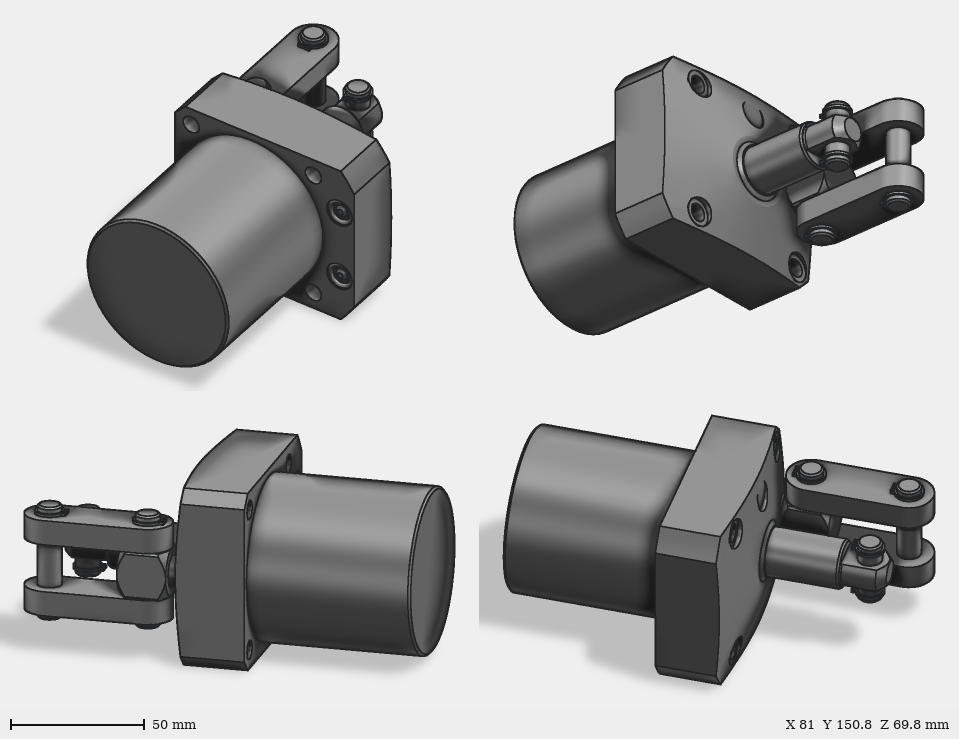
import cadquery as cq
import math


total_length = 150.8

body_radius = 32.0
body_length = 63.3
body_chamfer = 0.9

flange_left = 35.0
flange_right = 46.0
flange_height = 69.8
flange_corner_cut = 4.8
flange_corner_radius = 53.1
cone_top = 30.5
cone_flat_radius = 14.0
cone_angle = 10

mount_offset = 27.6
mount_hole_diameter = 7.2
spot_diameter = 11.3
mount_spot_floor = 25.0
upper_spot_offset = 25.3
upper_spot_floor = 27.7

port_x = 39.4
port_z = 15.0
port_radius = 5.7
port_depth = 1.7
seal_radius = 0.9
seal_recess = 0.2
stud_base_radius = 2.5
stud_tip_radius = 1.2
stud_recess = 0.6

rod_radius = 9.5
rod_end = 60.5
rod_end_chamfer = 0.6
rod_end_chamfer_length = 0.9
wiper_base_radius = 11.8
wiper_top_radius = 10.1
wiper_height = 1.4
tongue_radius = 8.0
tongue_thickness = 9.8
tongue_end = 77.8
tongue_chamfer = 3.3
tongue_flare = 0.6

link_width = 2 * rod_radius
link_thickness = 9.5
link_gap = 18.5
link_pitch = 38.0
link_end = total_length - body_length
link_radius = link_width / 2
link_x = link_radius - flange_left
link_outer_z = link_gap / 2 + link_thickness
far_pin_y = link_end - link_radius
near_pin_y = far_pin_y - link_pitch

block_start = near_pin_y - link_radius
block_end = 49.5
block_turned_radius = 12.7
block_end_radius = link_radius
block_cone_length = 3.0
post_radius = 6.2
post_base = 22.6

pin_radius = 4.7
pin_chamfer = 0.8
pin_overhang = 3.5
rod_pin_y = 70.1
rod_pin_half_length = 13.0
ring_radius = 5.6
ring_thickness = 1.0
lug_width = 5.1
lug_reach = 6.6
lug_gap = 0.8
lug_hole_diameter = 0.9


def turned(points):
    """Solid of revolution about the Y axis from (radius, y) points."""
    return cq.Workplane("XY").polyline(points).close().revolve(360, (0, 0, 0), (0, 1, 0))


def rod_along_y(x, z, radius, start, end):
    """Round bar parallel to Y."""
    return cq.Workplane("XZ", origin=(x, start, z)).circle(radius).extrude(start - end)


def make_body():
    overlap = cone_top / 2
    inner = body_radius - body_chamfer
    return turned([
        (0, -body_length),
        (inner, -body_length),
        (body_radius, body_chamfer - body_length),
        (body_radius, overlap),
        (0, overlap),
    ])


def make_flange():
    half = flange_height / 2
    cut = flange_corner_cut
    plate = (
        cq.Workplane("XZ")
        .polyline([
            (flange_right, -half),
            (flange_right, half),
            (cut - flange_left, half),
            (-flange_left, half - cut),
            (-flange_left, cut - half),
            (cut - flange_left, -half),
        ])
        .close()
        .extrude(-cone_top)
    )
    cone_drop = (flange_corner_radius - cone_flat_radius) * math.tan(math.radians(cone_angle))
    blank = turned([
        (0, 0),
        (flange_corner_radius, 0),
        (flange_corner_radius, cone_top - cone_drop),
        (cone_flat_radius, cone_top),
        (0, cone_top),
    ])
    flange = plate.intersect(blank)

    for x in (-mount_offset, mount_offset):
        for z in (-mount_offset, mount_offset):
            flange = flange.cut(rod_along_y(x, z, mount_hole_diameter / 2, 0, cone_top))
            flange = flange.cut(rod_along_y(x, z, spot_diameter / 2, mount_spot_floor, cone_top))
    upper_spot = rod_along_y(0, upper_spot_offset, spot_diameter / 2, upper_spot_floor, cone_top)
    flange = flange.cut(upper_spot)

    for z in (-port_z, port_z):
        flange = flange.cut(make_port_recess().translate((port_x, 0, z)))
    return flange


def make_port_recess():
    """Recess that leaves a round seal ring and a conical stud standing inside it."""
    seal_mid_y = seal_recess + seal_radius
    seal_centre = port_radius - seal_radius
    seal_inner = seal_centre - seal_radius
    return (
        cq.Workplane("XY")
        .moveTo(0, 0)
        .lineTo(port_radius, 0)
        .lineTo(port_radius, seal_mid_y)
        .threePointArc((seal_centre, seal_recess), (seal_inner, seal_mid_y))
        .lineTo(seal_inner, port_depth)
        .lineTo(stud_base_radius, port_depth)
        .lineTo(stud_tip_radius, stud_recess)
        .lineTo(0, stud_recess)
        .close()
        .revolve(360, (0, 0, 0), (0, 1, 0))
    )


def make_rod():
    rod = turned([
        (0, cone_top),
        (wiper_base_radius, cone_top),
        (wiper_top_radius, cone_top + wiper_height),
        (rod_radius, cone_top + wiper_height),
        (rod_radius, rod_end - rod_end_chamfer_length),
        (rod_radius - rod_end_chamfer, rod_end),
        (0, rod_end),
    ])
    tongue = turned([
        (0, rod_end),
        (tongue_radius + tongue_flare, rod_end),
        (tongue_radius, rod_end + tongue_flare),
        (tongue_radius, tongue_end - tongue_chamfer),
        (tongue_radius - tongue_chamfer, tongue_end),
        (0, tongue_end),
    ])
    flats = cq.Workplane("XY").box(2 * rod_radius, 2 * tongue_end, tongue_thickness)
    return rod.union(tongue.intersect(flats))


def make_pivot_block():
    turned_bar = turned([
        (0, block_start),
        (block_end_radius, block_start),
        (block_turned_radius, block_start + block_cone_length),
        (block_turned_radius, block_end - block_cone_length),
        (block_end_radius, block_end),
        (0, block_end),
    ])
    square = cq.Workplane("XY").box(link_width, 2 * block_end, link_gap)
    post = rod_along_y(0, 0, post_radius, post_base, block_start)
    return turned_bar.intersect(square).union(post).translate((link_x, 0, 0))


def make_link(bottom_z):
    middle_y = (near_pin_y + far_pin_y) / 2
    return (
        cq.Workplane("XY", origin=(link_x, middle_y, bottom_z))
        .slot2D(link_pitch + link_width, link_width, 90)
        .extrude(link_thickness)
    )


def make_ring():
    """Retaining ring with two drilled lugs on the -Y side."""
    lugs = cq.Workplane("XY").rect(lug_width, lug_reach).extrude(ring_thickness)
    lugs = lugs.translate((0, -lug_reach / 2, 0))
    gap = cq.Workplane("XY").rect(lug_gap, 2 * lug_reach).extrude(ring_thickness)
    gap = gap.translate((0, -lug_reach, 0))
    hole_x = (lug_width + lug_gap) / 4
    hole_y = (pin_radius + lug_reach) / 2
    holes = (
        cq.Workplane("XY")
        .pushPoints([(-hole_x, -hole_y), (hole_x, -hole_y)])
        .circle(lug_hole_diameter / 2)
        .extrude(ring_thickness)
    )
    ring = cq.Workplane("XY").circle(ring_radius).extrude(ring_thickness).union(lugs)
    return ring.cut(gap).cut(holes)


def make_pin(x, y, half_length):
    """Pin parallel to Z and centred on Z = 0, with a ring at each end."""
    pin = cq.Workplane("XY").circle(pin_radius).extrude(half_length, both=True)
    pin = pin.faces("<Z or >Z").chamfer(pin_chamfer)
    upper_ring = make_ring().translate((0, 0, half_length - pin_overhang))
    pin = pin.union(upper_ring).union(upper_ring.mirror("XY"))
    return pin.translate((x, y, 0))


link_pin_half_length = link_outer_z + pin_overhang

result = make_body()
result = result.union(make_flange())
result = result.union(make_rod())
result = result.union(make_pivot_block())
for link_bottom_z in (link_gap / 2, -link_outer_z):
    result = result.union(make_link(link_bottom_z))
for link_pin_y in (near_pin_y, far_pin_y):
    result = result.union(make_pin(link_x, link_pin_y, link_pin_half_length))
result = result.union(make_pin(0, rod_pin_y, rod_pin_half_length))